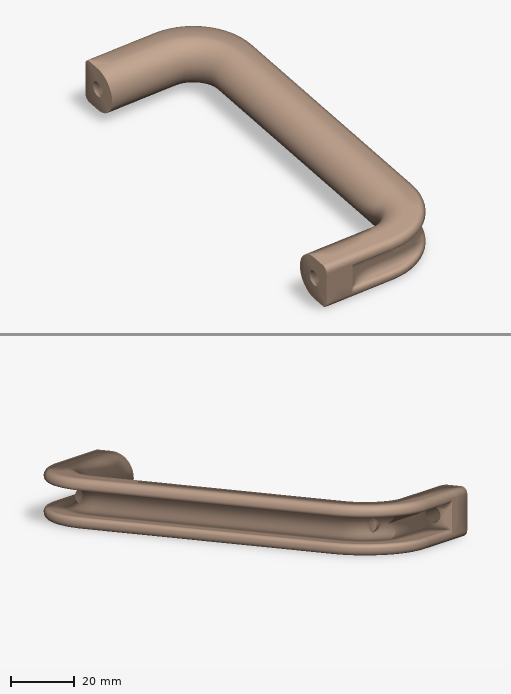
import cadquery as cq
import math

length = 134.0
height = 48.0
thickness = 16.0
bar_depth = 14.9
bend_radius = 22.4
edge_round = 2.1

groove_width = 8.5
groove_depth = 11.0
groove_radius = groove_width / 2
lip_round = 1.3
foot_length = 9.8

screw_diameter = 5.4
nut_width = groove_width
nut_pocket_end = 32.2

peg_radius = 2.7
peg_inset = 16.0
peg_bottom = 32.2
peg_top = 35.0

half_length = length / 2
half_thickness = thickness / 2
hole_inset = bar_depth - half_thickness
DIAGONAL = math.sqrt(0.5)


def handle_path(start_y):
    """U-shaped path along the outer side of the handle, both ends at start_y."""
    bend_y = height - bend_radius
    bend_x = half_length - bend_radius
    mid_x = bend_x + bend_radius * DIAGONAL
    mid_y = bend_y + bend_radius * DIAGONAL
    return (
        cq.Workplane("XY")
        .moveTo(-half_length, start_y)
        .lineTo(-half_length, bend_y)
        .threePointArc((-mid_x, mid_y), (-bend_x, height))
        .lineTo(bend_x, height)
        .threePointArc((mid_x, mid_y), (half_length, bend_y))
        .lineTo(half_length, start_y)
    )


def section_plane(start_y):
    """Section plane whose local x is the distance inward from the outer side."""
    return cq.Workplane("XZ", origin=(-half_length, start_y, 0))


def make_bar():
    """D-shaped bar with rounded outer edges."""
    flat_end = half_thickness - edge_round
    round_mid = edge_round * (1 - DIAGONAL)
    section = (
        section_plane(0)
        .moveTo(0, -flat_end)
        .threePointArc((round_mid, round_mid - half_thickness), (edge_round, -half_thickness))
        .lineTo(hole_inset, -half_thickness)
        .threePointArc((bar_depth, 0), (hole_inset, half_thickness))
        .lineTo(edge_round, half_thickness)
        .threePointArc((round_mid, half_thickness - round_mid), (0, flat_end))
        .close()
    )
    return section.sweep(handle_path(0))


def make_groove():
    """Round-bottomed groove with rounded lips, stopping at the solid feet."""
    mouth = groove_radius + lip_round
    round_mid = lip_round * (1 - DIAGONAL)
    floor_centre = groove_depth - groove_radius
    section = (
        section_plane(foot_length)
        .moveTo(0, -mouth)
        .threePointArc((round_mid, -groove_radius - round_mid), (lip_round, -groove_radius))
        .lineTo(floor_centre, -groove_radius)
        .threePointArc((groove_depth, 0), (floor_centre, groove_radius))
        .lineTo(lip_round, groove_radius)
        .threePointArc((round_mid, groove_radius + round_mid), (0, mouth))
        .close()
    )
    return section.sweep(handle_path(foot_length))


def make_nut_pocket(side):
    """Hexagonal pocket along a leg, with corners pointing along X."""
    corner_diameter = nut_width / math.cos(math.pi / 6)
    return (
        cq.Workplane("XZ", origin=(side * (half_length - hole_inset), foot_length, 0))
        .polygon(6, corner_diameter)
        .extrude(foot_length - nut_pocket_end)
    )


def make_screw_hole(side):
    """Through hole in a foot."""
    return (
        cq.Workplane("XZ", origin=(side * (half_length - hole_inset), 0, 0))
        .circle(screw_diameter / 2)
        .extrude(-foot_length)
    )


def make_peg(side):
    """Peg parallel to the leg, rising from the groove floor."""
    return (
        cq.Workplane("XZ", origin=(side * (half_length - peg_inset), peg_bottom, 0))
        .circle(peg_radius)
        .extrude(peg_bottom - peg_top)
    )


handle = make_bar().cut(make_groove())
for side in (-1, 1):
    handle = handle.cut(make_nut_pocket(side))
    handle = handle.cut(make_screw_hole(side))
    handle = handle.union(make_peg(side))

result = handle